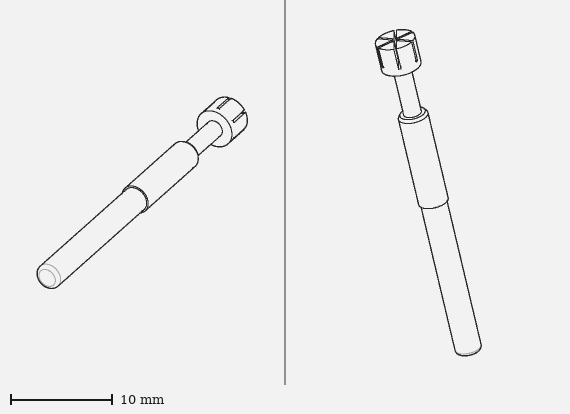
import cadquery as cq

total_length = 35.3
front_end = -total_length / 2
back_end = total_length / 2

head_diameter = 4.0
head_length = 3.0
slot_width = 0.25
slot_depth = 2.25
slot_count = 3
first_slot_angle = 30.0

stem_diameter = 1.8
stem_length = 5.33

collar_diameter = 3.0
collar_length = 10.0
collar_chamfer_length = 0.32
collar_chamfer_depth = 0.2

barrel_diameter = 2.65
barrel_end_radius = 0.4

head_front = back_end - head_length
collar_back = head_front - stem_length
collar_front = collar_back - collar_length


def cylinder_along_y(diameter, start, end):
    """Round bar on the Y axis from start to end."""
    bar = cq.Workplane("XZ", origin=(0, start, 0)).circle(diameter / 2)
    return bar.extrude(start - end)


def make_barrel():
    barrel = cylinder_along_y(barrel_diameter, front_end, collar_front)
    return barrel.faces("<Y").edges().fillet(barrel_end_radius)


def make_collar():
    collar = cylinder_along_y(collar_diameter, collar_front, collar_back)
    return collar.faces(">Y").edges().chamfer(collar_chamfer_length, collar_chamfer_depth)


def make_head():
    """Head with slots that cross its axis, open at the back end."""
    head = cylinder_along_y(head_diameter, head_front, back_end)
    slot_middle = back_end - slot_depth / 2
    for index in range(slot_count):
        angle = first_slot_angle + index * 180.0 / slot_count
        slot = (
            cq.Workplane("XY")
            .box(2 * head_diameter, slot_depth, slot_width)
            .translate((0, slot_middle, 0))
            .rotate((0, 0, 0), (0, 1, 0), angle)
        )
        head = head.cut(slot)
    return head


stem = cylinder_along_y(stem_diameter, collar_back, head_front)
result = make_barrel().union(make_collar()).union(stem).union(make_head())